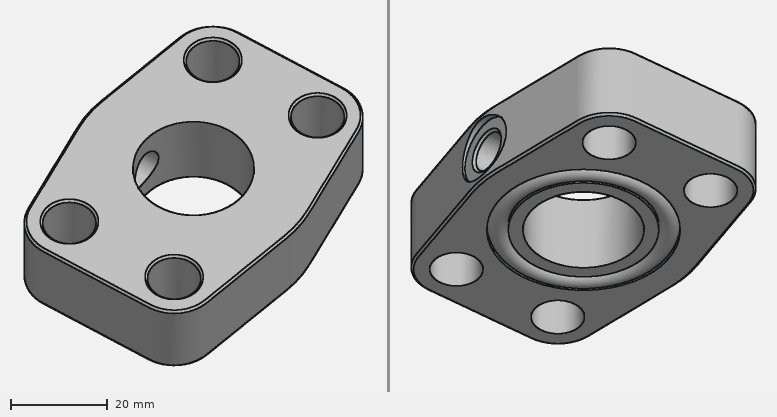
import cadquery as cq
import math

length = 71.0
width = 53.0
plate_height = 17.9
edge_chamfer = 0.5

bolt_spacing_x = 26.2
bolt_spacing_y = 52.3
bolt_hole_diameter = 11.0
bolt_hole_chamfer = 0.5
countersink_angle = 90

bore_diameter = 25.0

port_diameter = 8.7
port_chamfer = 0.6
spotface_diameter = 15.0
spotface_depth = 1.5

ring_outer_diameter = 39.9
ring_inner_diameter = 31.0
ring_protrusion = 0.7

corner_x = bolt_spacing_x / 2
corner_y = bolt_spacing_y / 2
corner_radius = length / 2 - corner_y
side_radius = width / 2
ring_section_diameter = (ring_outer_diameter - ring_inner_diameter) / 2
ring_center_radius = (ring_outer_diameter + ring_inner_diameter) / 4
groove_depth = ring_section_diameter - ring_protrusion
spotface_x = -side_radius + spotface_depth

corner_distance = math.hypot(corner_x, corner_y)
flank_angle = math.atan2(corner_y, corner_x) - math.acos((side_radius - corner_radius) / corner_distance)


def make_plate():
    """Plate with rounded sides and corners joined by tangent flanks, chamfered top and bottom."""
    side_x = side_radius * math.cos(flank_angle)
    side_y = side_radius * math.sin(flank_angle)
    flank_x = corner_x + corner_radius * math.cos(flank_angle)
    flank_y = corner_y + corner_radius * math.sin(flank_angle)
    corner_mid_angle = (flank_angle + math.pi / 2) / 2
    mid_x = corner_x + corner_radius * math.cos(corner_mid_angle)
    mid_y = corner_y + corner_radius * math.sin(corner_mid_angle)
    outline = (
        cq.Workplane("XY")
        .moveTo(side_x, -side_y)
        .threePointArc((side_radius, 0), (side_x, side_y))
        .lineTo(flank_x, flank_y)
        .threePointArc((mid_x, mid_y), (corner_x, length / 2))
        .lineTo(-corner_x, length / 2)
        .threePointArc((-mid_x, mid_y), (-flank_x, flank_y))
        .lineTo(-side_x, side_y)
        .threePointArc((-side_radius, 0), (-side_x, -side_y))
        .lineTo(-flank_x, -flank_y)
        .threePointArc((-mid_x, -mid_y), (-corner_x, -length / 2))
        .lineTo(corner_x, -length / 2)
        .threePointArc((mid_x, -mid_y), (flank_x, -flank_y))
        .close()
    )
    return outline.extrude(plate_height).faces("<Z or >Z").chamfer(edge_chamfer)


def cut_bolt_holes(body):
    """Four through holes, chamfered at the top face."""
    return (
        body.faces(">Z")
        .workplane(origin=(0, 0, plate_height))
        .rect(bolt_spacing_x, bolt_spacing_y, forConstruction=True)
        .vertices()
        .cskHole(bolt_hole_diameter, bolt_hole_diameter + 2 * bolt_hole_chamfer, countersink_angle)
    )


def cut_bore(body):
    """Central bore through the plate."""
    return body.cut(cq.Workplane("XY").circle(bore_diameter / 2).extrude(plate_height))


def cut_side_port(body):
    """Spotfaced, chamfered port at mid height, opening into the bore."""
    outer_plane = cq.Workplane("YZ", origin=(-side_radius, 0, plate_height / 2))
    spotface = outer_plane.circle(spotface_diameter / 2).extrude(spotface_depth)
    seat = cq.Workplane("YZ", origin=(spotface_x, 0, plate_height / 2))
    port = seat.circle(port_diameter / 2).extrude(-spotface_x)
    chamfer_cone = cq.Workplane(
        cq.Solid.makeCone(
            port_diameter / 2 + port_chamfer,
            port_diameter / 2,
            port_chamfer,
            cq.Vector(spotface_x, 0, plate_height / 2),
            cq.Vector(1, 0, 0),
        )
    )
    return body.cut(spotface).cut(port).cut(chamfer_cone)


def cut_ring_groove(body):
    """Rectangular groove in the bottom face that seats the seal ring."""
    groove = (
        cq.Workplane("XY")
        .circle(ring_outer_diameter / 2)
        .circle(ring_inner_diameter / 2)
        .extrude(groove_depth)
    )
    return body.cut(groove)


def make_flange():
    body = make_plate()
    body = cut_bolt_holes(body)
    body = cut_bore(body)
    body = cut_side_port(body)
    return cut_ring_groove(body).solids()


def make_seal_ring():
    """Round-section ring that stands proud of the bottom face."""
    section_radius = ring_section_diameter / 2
    ring_center = cq.Vector(0, 0, section_radius - ring_protrusion)
    return cq.Workplane(
        cq.Solid.makeTorus(ring_center_radius, section_radius, ring_center, cq.Vector(0, 0, 1))
    )


flange = make_flange()
seal_ring = make_seal_ring()
result = cq.Compound.makeCompound([flange.val(), seal_ring.val()])